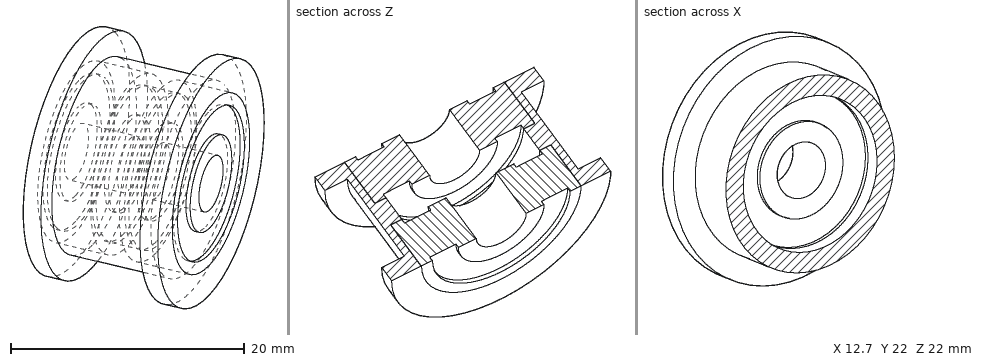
import cadquery as cq

flange_diameter = 22.0
pulley_width = 12.67
flange_width = 1.67
drum_diameter = 17.5

bearing_diameter = 16.0
bearing_width = 5.0
bearing_bore = 5.0
shield_outer_diameter = 13.8
shield_inner_diameter = 8.6
shield_recess = 0.4

lip_diameter = shield_outer_diameter
drum_width = pulley_width - 2 * flange_width


def cylinder(diameter, start, length):
    """Solid cylinder along +X, beginning at X = start."""
    return cq.Workplane("YZ", origin=(start, 0, 0)).circle(diameter / 2).extrude(length)


def ring(outer_diameter, inner_diameter, start, length):
    """Ring along +X, beginning at X = start."""
    return cylinder(outer_diameter, start, length).cut(cylinder(inner_diameter, start, length))


def make_pulley():
    """Flanged drum with a bearing seat in each end and a lip between the seats."""
    left_end = -pulley_width / 2
    pulley = cylinder(flange_diameter, left_end, pulley_width)
    pulley = pulley.cut(ring(flange_diameter, drum_diameter, -drum_width / 2, drum_width))
    pulley = pulley.cut(cylinder(lip_diameter, left_end, pulley_width))
    for start in bearing_starts:
        pulley = pulley.cut(cylinder(bearing_diameter, start, bearing_width))
    return pulley


def make_bearing(start):
    """Bearing with a shallow shield recess in both faces."""
    bearing = ring(bearing_diameter, bearing_bore, start, bearing_width)
    for recess_start in (start, start + bearing_width - shield_recess):
        recess = ring(shield_outer_diameter, shield_inner_diameter, recess_start, shield_recess)
        bearing = bearing.cut(recess)
    return bearing


bearing_starts = (-pulley_width / 2, pulley_width / 2 - bearing_width)
pulley = make_pulley()
bearings = [make_bearing(start) for start in bearing_starts]

result = cq.Compound.makeCompound([pulley.val(), *[bearing.val() for bearing in bearings]])